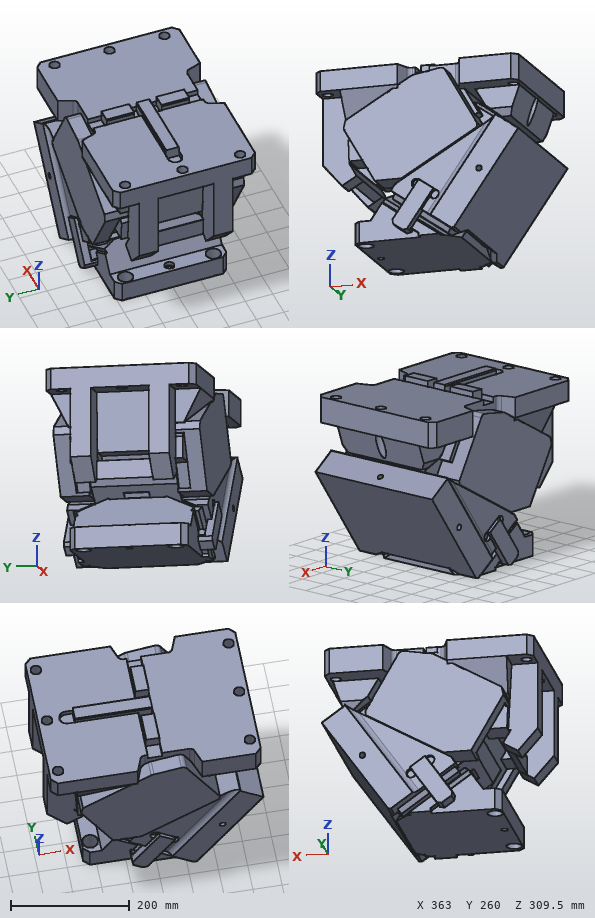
import cadquery as cq
import math


GUIDE_ANGLE = 30.0
DRIVE_ANGLE = 35.0
GUIDE_SLOPE = math.tan(math.radians(GUIDE_ANGLE))
DRIVE_COS = math.cos(math.radians(DRIVE_ANGLE))
DRIVE_SIN = math.sin(math.radians(DRIVE_ANGLE))
TRAVEL = cq.Vector(DRIVE_COS, 0, -DRIVE_SIN)
RISE = cq.Vector(DRIVE_SIN, 0, DRIVE_COS)

OVERALL_LENGTH = 363.0

PLATE_LENGTH = 360.0
PLATE_HALF_WIDTH = 129.5
PLATE_TOP = 299.8
PLATE_LEFT_BOTTOM = 264.0
PLATE_RIGHT_BOTTOM = 254.8
PLATE_STEP_X = 167.0
CORNER_CHAMFER = 10.0
HOLE_DIAMETER = 17.8
LEFT_HOLE_X = 15.2
LEFT_HOLE_Y = 104.5
RIGHT_HOLE_X = 344.8
RIGHT_HOLE_Y = 99.8

NOTCH_LEFT = 147.5
NOTCH_RIGHT = 257.7
NOTCH_DEPTH = 29.8
NOTCH_TAPER = 11.0
NOTCH_RADIUS = 8.7

KEY_SLOT_LEFT = 170.0
KEY_SLOT_RIGHT = 194.5
KEY_SLOT_DEPTH = 9.5
KEY_TOP = 309.5
KEY_CHAMFER_HEIGHT = 3.0
KEY_CHAMFER_WIDTH = 1.0
LONG_KEY_LEFT = 61.5
LONG_KEY_RIGHT = 193.5
LONG_KEY_WIDTH = 24.5
LONG_SLOT_LEFT = 36.5
CROSS_KEY_LEFT = 171.0
CROSS_KEY_LENGTH = 50.5
CROSS_KEY_Y = 50.0

LEG_INNER = 50.0
LEG_OUTER = 85.3
LEG_BOTTOM = 146.5
HOOK_ROOT = (47.0, LEG_BOTTOM)
HOOK_TIP = (60.2, 123.5)
HOOK_TOE = (34.0, 108.0)
BAR_FRONT_X = 45.7
BAR_BOTTOM = 115.0
RIB_OUTER = 97.3
RIB_FRONT_X = 49.5
RIB_TOP = 189.8
RIB_CHAMFER = 6.5
BLOCK_TOP_FRONT_X = 45.0
BLOCK_BOTTOM_FRONT_X = 50.8
BLOCK_BOTTOM = 161.5
BACK_FACE_X = 82.8
BLOCK_RIGHT_X = 256.5

CHEEK_INNER = 76.5
CHEEK_OUTER = 126.5
CHEEK_BOTTOM = 99.0
CHEEK_LEFT = (50.8, 195.3)
CHEEK_LEFT_TOP = (54.0, 209.8)
CHEEK_PEAK = (228.5, 287.8)
CHEEK_RIGHT = (289.0, 183.0)
CHEEK_HEEL_X = 287.5
CHEEK_TOP_RADIUS = 9.5
CHEEK_BEND = (172.8, 278.5)
CHEEK_BEND_RADIUS = 14.5
CHEEK_LIP_BOTTOM = 211.0
LIP_INSET = 11.0
CHEEK_RECESS_TO = 98.7
CHEEK_RECESS_BOTTOM = 104.5
CHEEK_RECESS_TOP = 190.5

GUSSET_BOTTOM = 207.2
GUSSET_BOTTOM_HALF = 99.8
GUSSET_FRONT_X = 48.3

STOP_HALF_WIDTH = 90.7
STOP_BOTTOM = 204.0
STOP_TOP_LEFT = 273.0
STOP_KNEE = (291.5, 224.0)
STOP_BOTTOM_LEFT = 318.0
STOP_BOTTOM_RIGHT = 334.0
STOP_TOP_RIGHT = 352.0
STOP_CHAMFER_HEIGHT = 13.8
STOP_CHAMFER_WIDTH = 8.0

SHOULDER_X, SHOULDER_Z = 231.0, 143.5
CHANNEL_X, CHANNEL_Z = 270.0, 237.5
SHOULDER_HALF_WIDTH = 122.0
TONGUE_HALF_WIDTH = 74.8
TONGUE_CHAMFER = 6.0
SLIDER_TOP_RISE = 349.0
SHOULDER_BOTTOM_RISE = 142.5
SHOULDER_LEFT_TRAVEL = 63.0

TOOL_PLATE_HALF_WIDTH = 130.0
TOOL_PLATE_LEFT = 152.0
TOOL_PLATE_RIGHT = 201.5
TOOL_PLATE_TOP = (OVERALL_LENGTH - DRIVE_COS * TOOL_PLATE_RIGHT) / DRIVE_SIN
TOOL_PLATE_CHAMFER = 3.5
FLARE_LENGTH = 11.0
LIFT_HOLE_DIAMETER = 9.8
LIFT_HOLE_TRAVEL = 180.7
LIFT_HOLE_RISE = 252.5
LIFT_HOLE_DEPTH = 21.8

WEAR_BOTTOM = 133.2
WEAR_BOTTOM_OUTER = 106.5
WEAR_TOP_OUTER = 111.5
WEAR_START = 67.0
WEAR_END = 188.5
SLOT_HALF_WIDTH = 21.8
SLOT_LEFT = 90.7
SLOT_BOTTOM = 94.5
SLOT_TOP = 105.3
SLOT_WALL_X = 135.7

CLIP_LEFT = 97.5
CLIP_RIGHT = 129.5
CLIP_BOTTOM = 96.0
CLIP_TOP = 183.5
CLIP_OUTER = 128.5
CLIP_WALL_INNER = 115.0
CLIP_HOOK_INNER = 104.0
CLIP_HOOK_TOP = 106.0
CLIP_CHAMFER = 5.8
RELIEF_RADIUS = 8.0
RELIEF_DEPTH = 6.5
RELIEF_CENTERS = [(178.5, 89.3), (211.0, 67.5)]

FOOT_LEFT = 60.2
FOOT_RIGHT = 245.0
FOOT_HEIGHT = 37.5
DRIVER_HALF_WIDTH = 102.0
DRIVER_FACE_TRAVEL = 52.5
RIDGE_RISE = 156.8
RIDGE_ANGLE = 30.0
RIDGE_HALF_WIDTH = 50.0
RIDGE_RELIEF = 2.0
RELIEF_HALF_WIDTH = 47.2
RIDGE_SLOPE = math.tan(math.radians(RIDGE_ANGLE))
WEAR_GAP = 14.5
FOOT_HOLE_X = 74.8
FOOT_HOLE_Y = 80.0
FOOT_HOLE_DIAMETER = 26.0
FOOT_SCREW_DIAMETER = 11.0
FOOT_BORE_DIAMETER = 17.0
FOOT_BORE_DEPTH = 7.3
GROOVE_DEPTH = 3.5
GROOVE_ROOT = 119.8
GROOVE_BOTTOM = 118.0
FLANGE_OUTER = 113.0
FLANGE_LEFT = 103.0
FLANGE_TOP = 124.5
FLANGE_BOTTOM = 107.0
FLANGE_STEP_X = 179.3

WEAR_TOP_INNER = RIDGE_HALF_WIDTH + WEAR_GAP / RIDGE_SLOPE
WEAR_TOP_MIDDLE = WEAR_TOP_INNER + (RIDGE_RISE - SHOULDER_BOTTOM_RISE) / RIDGE_SLOPE

MARGIN = 36.3


def drive_point(travel, rise):
    """XZ place of a point given along the travel and square to it."""
    point = TRAVEL * travel + RISE * rise
    return (point.x, point.z)


def rise_of(x, z):
    """Rise of an XZ place above a plane through the origin along the travel."""
    return DRIVE_SIN * x + DRIVE_COS * z


def rise_on_ground(rise):
    """XZ place where a line of constant rise meets the ground."""
    return drive_point(rise * DRIVE_COS / DRIVE_SIN, rise)


def shoulder_z(x):
    return SHOULDER_Z + (x - SHOULDER_X) * GUIDE_SLOPE


def shoulder_rise(travel):
    """Rise of the 30 degree shoulder at a place along the travel."""
    steepness = DRIVE_SIN + DRIVE_COS * GUIDE_SLOPE
    return (shoulder_z(0) + travel * steepness) / (DRIVE_COS - DRIVE_SIN * GUIDE_SLOPE)


def shoulder_x(z):
    return SHOULDER_X + (z - SHOULDER_Z) / GUIDE_SLOPE


def square_face_x(x, z, height):
    """X at a height on a face square to the guide through (x, z)."""
    return x + (z - height) * GUIDE_SLOPE


def roof_meeting(x, z):
    """Where the face square to the guide through (x, z) meets the channel roof."""
    cos, sin = math.cos(math.radians(GUIDE_ANGLE)), math.sin(math.radians(GUIDE_ANGLE))
    height = (x - CHANNEL_X) * sin - (z - CHANNEL_Z) * cos
    return (x - height * sin, z + height * cos)


def slab(points, half_width):
    """An XZ outline, symmetric about the XZ plane."""
    return cq.Workplane("XZ").polyline(points).close().extrude(half_width, both=True)


def both_sides(solid):
    """A shape together with its mirror image across the XZ plane."""
    return solid.union(solid.mirror("XZ"))


def side_slabs(points, inner, outer):
    """An XZ outline between two distances from the middle, on both sides."""
    side = cq.Workplane("XZ", origin=(0, -inner, 0)).polyline(points).close().extrude(outer - inner)
    return both_sides(side)


def drive_bar(section, start, end):
    """A section of (y, rise) points, run along the travel."""
    plane = cq.Plane(origin=(TRAVEL * start).toTuple(), xDir=(0, 1, 0), normal=TRAVEL.toTuple())
    return cq.Workplane(plane).polyline(section).close().extrude(end - start)


def rise_plane(rise):
    """Workplane square to the rise, with local x along the travel and local y along Y."""
    return cq.Workplane(cq.Plane((RISE * rise).toTuple(), TRAVEL.toTuple(), RISE.toTuple()))


def box(x0, x1, y0, y1, z0, z1):
    return cq.Workplane("XY").box(x1 - x0, y1 - y0, z1 - z0, centered=False).translate((x0, y0, z0))


def ridge_side_rise(y):
    """Rise of the sloping side of the driver's ridge."""
    return RIDGE_RISE - (y - RIDGE_HALF_WIDTH) * RIDGE_SLOPE


def make_plate():
    outline = [
        (0, PLATE_TOP),
        (PLATE_LENGTH, PLATE_TOP),
        (PLATE_LENGTH, PLATE_RIGHT_BOTTOM),
        (PLATE_STEP_X, PLATE_RIGHT_BOTTOM),
        (PLATE_STEP_X, PLATE_LEFT_BOTTOM),
        (0, PLATE_LEFT_BOTTOM),
    ]
    plate = slab(outline, PLATE_HALF_WIDTH)
    corners = (
        box(0, PLATE_LENGTH, -PLATE_HALF_WIDTH, PLATE_HALF_WIDTH, PLATE_RIGHT_BOTTOM, PLATE_TOP)
        .edges("|Z")
        .chamfer(CORNER_CHAMFER)
    )
    plate = plate.intersect(corners)
    return plate.cut(make_notches())


def make_notches():
    bottom_y = NOTCH_DEPTH - PLATE_HALF_WIDTH
    notch = (
        cq.Workplane("XY", origin=(0, 0, PLATE_RIGHT_BOTTOM))
        .polyline([
            (NOTCH_LEFT, -PLATE_HALF_WIDTH),
            (NOTCH_RIGHT, -PLATE_HALF_WIDTH),
            (NOTCH_RIGHT - NOTCH_TAPER, bottom_y),
            (NOTCH_LEFT + NOTCH_TAPER, bottom_y),
        ])
        .close()
        .extrude(PLATE_TOP - PLATE_RIGHT_BOTTOM)
        .edges("|Z and >Y")
        .fillet(NOTCH_RADIUS)
    )
    return both_sides(notch)


def make_legs():
    """Two hooked legs, the ribs behind them and the bar that ties the hooks."""
    leg = [
        (0, PLATE_LEFT_BOTTOM),
        (BLOCK_TOP_FRONT_X, PLATE_LEFT_BOTTOM),
        (BLOCK_BOTTOM_FRONT_X, LEG_BOTTOM),
        HOOK_ROOT,
        HOOK_TIP,
        HOOK_TOE,
        (0, LEG_BOTTOM),
    ]
    bar = [(BAR_FRONT_X, LEG_BOTTOM), HOOK_ROOT, HOOK_TIP, (BAR_FRONT_X, BAR_BOTTOM)]
    rib_right = square_face_x(BACK_FACE_X, BLOCK_BOTTOM, LEG_BOTTOM)
    rib = [
        (RIB_FRONT_X, RIB_TOP - RIB_CHAMFER),
        (BLOCK_BOTTOM_FRONT_X, LEG_BOTTOM),
        (rib_right, LEG_BOTTOM),
        (rib_right, RIB_TOP),
        (RIB_FRONT_X + RIB_CHAMFER, RIB_TOP),
    ]
    legs = side_slabs(leg, LEG_INNER, LEG_OUTER)
    return legs.union(side_slabs(rib, LEG_INNER, RIB_OUTER)).union(slab(bar, LEG_INNER))


def make_center_block():
    """Block between the cheeks, whose underside is the channel roof."""
    outline = [
        (BLOCK_TOP_FRONT_X, PLATE_LEFT_BOTTOM),
        (BLOCK_BOTTOM_FRONT_X, BLOCK_BOTTOM),
        (BACK_FACE_X, BLOCK_BOTTOM),
        roof_meeting(BACK_FACE_X, BLOCK_BOTTOM),
        roof_meeting(BLOCK_RIGHT_X, PLATE_RIGHT_BOTTOM),
        (BLOCK_RIGHT_X, PLATE_RIGHT_BOTTOM),
        (BLOCK_RIGHT_X, PLATE_LEFT_BOTTOM),
    ]
    return slab(outline, CHEEK_INNER)


def make_cheeks():
    outline = [
        CHEEK_LEFT,
        CHEEK_LEFT_TOP,
        CHEEK_BEND,
        CHEEK_PEAK,
        CHEEK_RIGHT,
        (CHEEK_HEEL_X, shoulder_z(CHEEK_HEEL_X)),
        (shoulder_x(CHEEK_BOTTOM), CHEEK_BOTTOM),
        (square_face_x(*CHEEK_LEFT, CHEEK_BOTTOM), CHEEK_BOTTOM),
    ]
    cheeks = side_slabs(outline, CHEEK_INNER, CHEEK_OUTER)
    cheeks = cheeks.edges("|Y").edges(">Z").fillet(CHEEK_TOP_RADIUS)
    bend_x, bend_z = CHEEK_BEND
    reach = CHEEK_BEND_RADIUS / 4
    at_bend = cq.selectors.BoxSelector(
        (bend_x - reach, -CHEEK_OUTER, bend_z - reach),
        (bend_x + reach, CHEEK_OUTER, bend_z + reach),
    )
    cheeks = cheeks.edges("|Y").edges(at_bend).fillet(CHEEK_BEND_RADIUS)
    recess = [
        (0, CHEEK_RECESS_BOTTOM),
        (square_face_x(BACK_FACE_X, BLOCK_BOTTOM, CHEEK_RECESS_BOTTOM), CHEEK_RECESS_BOTTOM),
        (square_face_x(BACK_FACE_X, BLOCK_BOTTOM, CHEEK_RECESS_TOP), CHEEK_RECESS_TOP),
        (0, CHEEK_RECESS_TOP),
    ]
    return cheeks.cut(slab(recess, CHEEK_RECESS_TO))


def make_end_lips():
    """Lips on the right end of the cheeks, flush with the end of the center block."""
    left_x = BLOCK_RIGHT_X - LIP_INSET
    drop_x = square_face_x(BLOCK_RIGHT_X, PLATE_RIGHT_BOTTOM, CHEEK_LIP_BOTTOM)
    outline = [
        (left_x, PLATE_RIGHT_BOTTOM),
        (BLOCK_RIGHT_X, PLATE_RIGHT_BOTTOM),
        (drop_x, CHEEK_LIP_BOTTOM),
        (drop_x - LIP_INSET, CHEEK_LIP_BOTTOM - LIP_INSET * GUIDE_SLOPE),
    ]
    return side_slabs(outline, CHEEK_INNER, CHEEK_RECESS_TO)


def make_gussets():
    """Sloping flanks that carry the plate edges down to the cheek roots."""
    section = [
        (PLATE_HALF_WIDTH, PLATE_LEFT_BOTTOM),
        (GUSSET_BOTTOM_HALF, GUSSET_BOTTOM),
        (-GUSSET_BOTTOM_HALF, GUSSET_BOTTOM),
        (-PLATE_HALF_WIDTH, PLATE_LEFT_BOTTOM),
    ]
    flanks = cq.Workplane("YZ").polyline(section).close().extrude(NOTCH_LEFT)
    side = [
        (BLOCK_TOP_FRONT_X, PLATE_LEFT_BOTTOM),
        (GUSSET_FRONT_X, GUSSET_BOTTOM),
        (NOTCH_LEFT, GUSSET_BOTTOM),
        (NOTCH_LEFT, PLATE_LEFT_BOTTOM),
    ]
    return flanks.intersect(slab(side, PLATE_HALF_WIDTH))


def make_stop():
    """Block under the right end of the plate, clear of the slider."""
    outline = [
        (STOP_TOP_LEFT, PLATE_RIGHT_BOTTOM),
        STOP_KNEE,
        (STOP_BOTTOM_LEFT, STOP_BOTTOM),
        (STOP_BOTTOM_RIGHT, STOP_BOTTOM),
        (STOP_TOP_RIGHT, PLATE_RIGHT_BOTTOM),
    ]
    section = [
        (-STOP_HALF_WIDTH, PLATE_RIGHT_BOTTOM),
        (-STOP_HALF_WIDTH, STOP_BOTTOM + STOP_CHAMFER_HEIGHT),
        (STOP_CHAMFER_WIDTH - STOP_HALF_WIDTH, STOP_BOTTOM),
        (STOP_HALF_WIDTH - STOP_CHAMFER_WIDTH, STOP_BOTTOM),
        (STOP_HALF_WIDTH, STOP_BOTTOM + STOP_CHAMFER_HEIGHT),
        (STOP_HALF_WIDTH, PLATE_RIGHT_BOTTOM),
    ]
    beveled = cq.Workplane("YZ").polyline(section).close().extrude(PLATE_LENGTH)
    return slab(outline, STOP_HALF_WIDTH).intersect(beveled)


def make_key_slots():
    floor = PLATE_TOP - KEY_SLOT_DEPTH
    half_slot = LONG_KEY_WIDTH / 2
    half_cross = PLATE_HALF_WIDTH - NOTCH_DEPTH
    cross = box(KEY_SLOT_LEFT, KEY_SLOT_RIGHT, -half_cross, half_cross, floor, PLATE_TOP)
    straight_left = LONG_SLOT_LEFT + half_slot
    long = box(straight_left, KEY_SLOT_RIGHT, -half_slot, half_slot, floor, PLATE_TOP)
    end = cq.Workplane("XY", origin=(straight_left, 0, floor)).circle(half_slot).extrude(KEY_SLOT_DEPTH)
    return cross.union(long).union(end)


def make_keys():
    floor = PLATE_TOP - KEY_SLOT_DEPTH
    half_long = LONG_KEY_WIDTH / 2
    half_cross = CROSS_KEY_LENGTH / 2
    keys = (
        box(LONG_KEY_LEFT, LONG_KEY_RIGHT, -half_long, half_long, floor, KEY_TOP)
        .edges(">Z and |X")
        .chamfer(KEY_CHAMFER_HEIGHT, KEY_CHAMFER_WIDTH)
    )
    for y in (-CROSS_KEY_Y, CROSS_KEY_Y):
        key = box(CROSS_KEY_LEFT, KEY_SLOT_RIGHT, y - half_cross, y + half_cross, floor, KEY_TOP)
        keys = keys.union(key.edges(">Z and <X").chamfer(KEY_CHAMFER_HEIGHT, KEY_CHAMFER_WIDTH))
    return keys


def make_base():
    body = make_plate().union(make_center_block()).union(make_legs()).union(make_gussets())
    body = body.union(make_cheeks()).union(make_end_lips()).union(make_stop())
    body = body.cut(make_key_slots()).union(make_keys())
    spots = [(LEFT_HOLE_X, y) for y in (-LEFT_HOLE_Y, 0, LEFT_HOLE_Y)]
    spots += [(RIGHT_HOLE_X, y) for y in (-RIGHT_HOLE_Y, 0, RIGHT_HOLE_Y)]
    holes = (
        cq.Workplane("XY", origin=(0, 0, PLATE_TOP))
        .pushPoints(spots)
        .circle(HOLE_DIAMETER / 2)
        .extrude(STOP_BOTTOM - PLATE_TOP)
    )
    return body.cut(holes)


def make_tongue():
    """Middle of the slider, which runs in the channel between the cheeks."""
    height = rise_of(BACK_FACE_X, BLOCK_BOTTOM) - RIDGE_RISE
    fall = height / (DRIVE_COS - DRIVE_SIN * GUIDE_SLOPE)
    bottom_back = (BACK_FACE_X + fall * GUIDE_SLOPE, BLOCK_BOTTOM - fall)
    climb = SLIDER_TOP_RISE - rise_of(CHANNEL_X, CHANNEL_Z)
    run = climb / (DRIVE_SIN + DRIVE_COS * GUIDE_SLOPE)
    roof_front = (CHANNEL_X + run, CHANNEL_Z + run * GUIDE_SLOPE)
    outline = [
        bottom_back,
        roof_meeting(BACK_FACE_X, BLOCK_BOTTOM),
        roof_front,
        drive_point(TOOL_PLATE_LEFT, SLIDER_TOP_RISE),
        drive_point(TOOL_PLATE_LEFT, RIDGE_RISE),
    ]
    top_face = cq.selectors.DirectionMinMaxSelector(RISE)
    return slab(outline, TONGUE_HALF_WIDTH).faces(top_face).edges("not |Y").chamfer(TONGUE_CHAMFER)


def make_tongue_slot():
    """Shallow slot that opens at the lower back edge of the tongue."""
    outline = [
        (SLOT_LEFT, SLOT_BOTTOM),
        (SLOT_WALL_X, SLOT_BOTTOM),
        (square_face_x(SLOT_WALL_X, SLOT_BOTTOM, SLOT_TOP), SLOT_TOP),
        (SLOT_LEFT, SLOT_TOP),
    ]
    return slab(outline, SLOT_HALF_WIDTH)


def make_shoulders():
    """Wedge beside the tongue, flaring out to the width of the tool plate."""
    outline = [
        drive_point(SHOULDER_LEFT_TRAVEL, SHOULDER_BOTTOM_RISE),
        drive_point(SHOULDER_LEFT_TRAVEL, shoulder_rise(SHOULDER_LEFT_TRAVEL)),
        drive_point(TOOL_PLATE_LEFT, shoulder_rise(TOOL_PLATE_LEFT)),
        drive_point(TOOL_PLATE_LEFT, SHOULDER_BOTTOM_RISE),
    ]
    flare_left = TOOL_PLATE_LEFT - FLARE_LENGTH
    step = TOOL_PLATE_HALF_WIDTH - SHOULDER_HALF_WIDTH
    radius = (FLARE_LENGTH ** 2 + step ** 2) / (2 * step)
    half_turn = math.asin(FLARE_LENGTH / radius) / 2
    flare_middle = (
        flare_left + radius * math.sin(half_turn),
        SHOULDER_HALF_WIDTH + radius * (1 - math.cos(half_turn)),
    )
    plan = (
        rise_plane(SHOULDER_BOTTOM_RISE)
        .moveTo(SHOULDER_LEFT_TRAVEL, 0)
        .lineTo(SHOULDER_LEFT_TRAVEL, SHOULDER_HALF_WIDTH)
        .lineTo(flare_left, SHOULDER_HALF_WIDTH)
        .threePointArc(flare_middle, (TOOL_PLATE_LEFT, TOOL_PLATE_HALF_WIDTH))
        .lineTo(TOOL_PLATE_LEFT, 0)
        .close()
        .extrude(SLIDER_TOP_RISE - SHOULDER_BOTTOM_RISE)
    )
    return slab(outline, TOOL_PLATE_HALF_WIDTH).intersect(both_sides(plan))


def make_tool_plate():
    plate = (
        rise_plane(SHOULDER_BOTTOM_RISE)
        .center((TOOL_PLATE_LEFT + TOOL_PLATE_RIGHT) / 2, 0)
        .rect(TOOL_PLATE_RIGHT - TOOL_PLATE_LEFT, 2 * TOOL_PLATE_HALF_WIDTH)
        .extrude(TOOL_PLATE_TOP - SHOULDER_BOTTOM_RISE)
        .edges("|Y and <Z")
        .chamfer(TOOL_PLATE_CHAMFER)
    )
    x, z = drive_point(LIFT_HOLE_TRAVEL, LIFT_HOLE_RISE)
    side_hole = (
        cq.Workplane("XZ", origin=(x, LIFT_HOLE_DEPTH - TOOL_PLATE_HALF_WIDTH, z))
        .circle(LIFT_HOLE_DIAMETER / 2)
        .extrude(LIFT_HOLE_DEPTH)
    )
    top_hole = (
        rise_plane(TOOL_PLATE_TOP - LIFT_HOLE_DEPTH)
        .center(LIFT_HOLE_TRAVEL, 0)
        .circle(LIFT_HOLE_DIAMETER / 2)
        .extrude(LIFT_HOLE_DEPTH)
    )
    return plate.cut(both_sides(side_hole)).cut(top_hole)


def make_wear_plates():
    """Plates on the slider that ride on the sloping sides of the ridge."""
    section = [
        (WEAR_TOP_OUTER, SHOULDER_BOTTOM_RISE),
        (WEAR_BOTTOM_OUTER, WEAR_BOTTOM),
        (RIDGE_HALF_WIDTH + (RIDGE_RISE - WEAR_BOTTOM) / RIDGE_SLOPE, WEAR_BOTTOM),
        (RIDGE_HALF_WIDTH, RIDGE_RISE),
        (WEAR_TOP_INNER, RIDGE_RISE),
        (WEAR_TOP_MIDDLE, SHOULDER_BOTTOM_RISE),
    ]
    return both_sides(drive_bar(section, WEAR_START, WEAR_END))


def make_clips():
    section = [
        (SHOULDER_HALF_WIDTH, CLIP_TOP),
        (CLIP_OUTER, CLIP_TOP),
        (CLIP_OUTER, CLIP_BOTTOM),
        (CLIP_HOOK_INNER, CLIP_BOTTOM),
        (CLIP_HOOK_INNER, CLIP_HOOK_TOP),
        (CLIP_WALL_INNER, CLIP_HOOK_TOP),
        (CLIP_WALL_INNER, SHOULDER_BOTTOM_RISE),
        (SHOULDER_HALF_WIDTH, SHOULDER_BOTTOM_RISE),
    ]
    bottom = cq.selectors.DirectionMinMaxSelector(RISE, False)
    clip = drive_bar(section, CLIP_LEFT, CLIP_RIGHT).faces(bottom).edges("|Y").chamfer(CLIP_CHAMFER)
    return both_sides(clip)


def make_clip_reliefs():
    """Round corner reliefs beside the upper end of each clip."""
    reliefs = (
        cq.Workplane("XZ", origin=(0, RELIEF_DEPTH - SHOULDER_HALF_WIDTH, 0))
        .pushPoints(RELIEF_CENTERS)
        .circle(RELIEF_RADIUS)
        .extrude(RELIEF_DEPTH)
    )
    return both_sides(reliefs)


def make_slider():
    clearance = [
        (-WEAR_TOP_MIDDLE, SHOULDER_BOTTOM_RISE),
        (-WEAR_TOP_INNER, RIDGE_RISE),
        (WEAR_TOP_INNER, RIDGE_RISE),
        (WEAR_TOP_MIDDLE, SHOULDER_BOTTOM_RISE),
    ]
    body = make_shoulders().union(make_tool_plate()).cut(drive_bar(clearance, 0, TOOL_PLATE_RIGHT + MARGIN))
    body = body.cut(make_clip_reliefs())
    return body.union(make_tongue().cut(make_tongue_slot())).union(make_wear_plates()).union(make_clips())


def make_driver():
    ridge_end_z = (RIDGE_RISE - DRIVE_SIN * FOOT_RIGHT) / DRIVE_COS
    face_bottom_x = (DRIVER_FACE_TRAVEL + DRIVE_SIN * FOOT_HEIGHT) / DRIVE_COS
    outline = [
        (FOOT_LEFT, 0),
        (FOOT_RIGHT, 0),
        (FOOT_RIGHT, ridge_end_z),
        drive_point(DRIVER_FACE_TRAVEL, RIDGE_RISE),
        (face_bottom_x, FOOT_HEIGHT),
        (FOOT_LEFT, FOOT_HEIGHT),
    ]
    body = slab(outline, DRIVER_HALF_WIDTH).edges("|Z and <X").chamfer(CORNER_CHAMFER)
    body = body.intersect(make_ridge_section()).cut(make_side_grooves()).union(make_flanges())
    return body.cut(make_foot_holes())


def make_ridge_section():
    edge_rise = ridge_side_rise(DRIVER_HALF_WIDTH)
    section = [
        (-RIDGE_HALF_WIDTH, RIDGE_RISE),
        (-RELIEF_HALF_WIDTH, RIDGE_RISE - RIDGE_RELIEF),
        (RELIEF_HALF_WIDTH, RIDGE_RISE - RIDGE_RELIEF),
        (RIDGE_HALF_WIDTH, RIDGE_RISE),
        (DRIVER_HALF_WIDTH, edge_rise),
        (DRIVER_HALF_WIDTH, -FOOT_RIGHT),
        (-DRIVER_HALF_WIDTH, -FOOT_RIGHT),
        (-DRIVER_HALF_WIDTH, edge_rise),
    ]
    return drive_bar(section, -MARGIN, FOOT_RIGHT + MARGIN)


def make_side_grooves():
    section = [
        (DRIVER_HALF_WIDTH, ridge_side_rise(DRIVER_HALF_WIDTH)),
        (DRIVER_HALF_WIDTH - GROOVE_DEPTH, GROOVE_ROOT),
        (DRIVER_HALF_WIDTH, GROOVE_BOTTOM),
    ]
    return both_sides(drive_bar(section, 0, FOOT_RIGHT + MARGIN))


def make_flanges():
    """Rails on the driver's sides, above the hooks of the clips."""
    outline = [
        drive_point(FLANGE_LEFT, FLANGE_TOP),
        rise_on_ground(FLANGE_TOP),
        (FLANGE_STEP_X, 0),
        (FLANGE_STEP_X, (FLANGE_BOTTOM - DRIVE_SIN * FLANGE_STEP_X) / DRIVE_COS),
        drive_point(FLANGE_LEFT, FLANGE_BOTTOM),
    ]
    return side_slabs(outline, DRIVER_HALF_WIDTH - GROOVE_DEPTH, FLANGE_OUTER)


def make_foot_holes():
    bolts = (
        cq.Workplane("XY")
        .pushPoints([(FOOT_HOLE_X, -FOOT_HOLE_Y), (FOOT_HOLE_X, FOOT_HOLE_Y)])
        .circle(FOOT_HOLE_DIAMETER / 2)
        .extrude(FOOT_HEIGHT)
    )
    screw = cq.Workplane("XY").center(FOOT_HOLE_X, 0).circle(FOOT_SCREW_DIAMETER / 2).extrude(FOOT_HEIGHT)
    counterbore = (
        cq.Workplane("XY", origin=(FOOT_HOLE_X, 0, FOOT_HEIGHT - FOOT_BORE_DEPTH))
        .circle(FOOT_BORE_DIAMETER / 2)
        .extrude(FOOT_BORE_DEPTH)
    )
    return bolts.union(screw).union(counterbore)


base = make_base()
slider = make_slider()
driver = make_driver()
result = cq.Compound.makeCompound([base.val(), slider.val(), driver.val()])